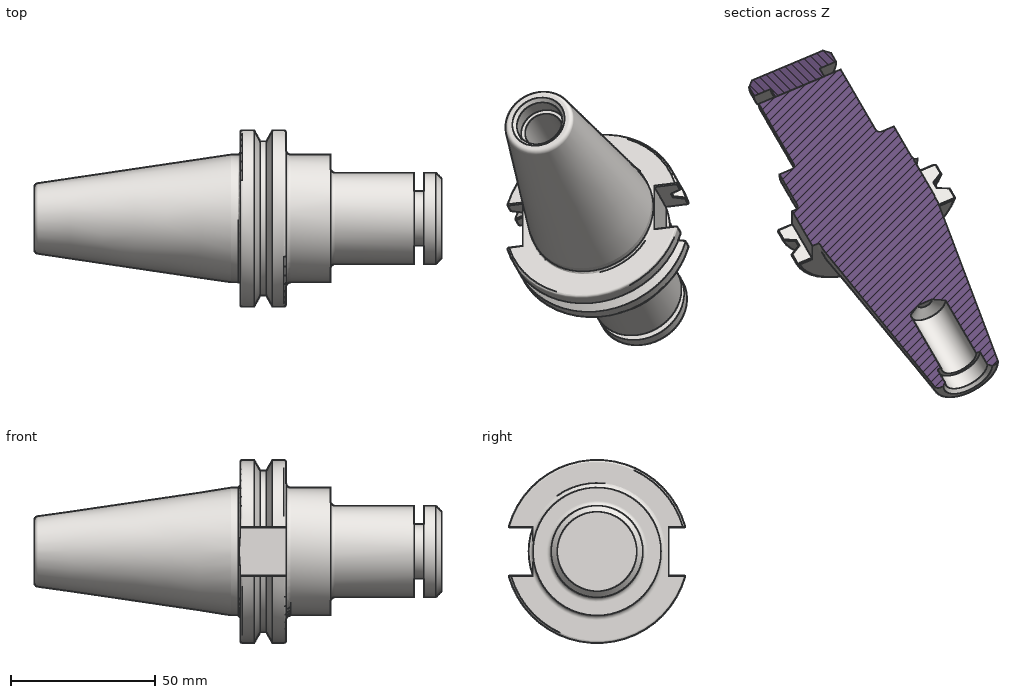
import cadquery as cq
import math


QUARTER_TURN = math.pi / 2

GAUGE_X = 68.3
FLANGE_X = 71.4
FLANGE_WIDTH = 16.0
COLLAR_END_X = 102.8
SHANK_END_X = 131.7
TOTAL_LENGTH = 141.4

GAUGE_DIAMETER = 44.4
SMALL_END_DIAMETER = 24.2
TAPER_END_FILLET = 1.5

FLANGE_DIAMETER = 63.6
FLANGE_RIM_FILLET = 0.8
FLANGE_FRONT_FILLET = 0.7
GROOVE_CENTER_X = 79.5
GROOVE_FLOOR_WIDTH = 2.1
GROOVE_DEPTH = 3.7
GROOVE_HALF_ANGLE = 30.0
SLOT_WIDTH = 16.4
SLOT_EDGE_CHAMFER = 0.4
SLOT_FLOOR_NEAR = 22.3
SLOT_FLOOR_FAR = 24.9

COLLAR_DIAMETER = GAUGE_DIAMETER
SHANK_DIAMETER = 31.8
ROOT_FILLET = 1.5

BORE_MOUTH_DIAMETER = 18.8
BORE_DIAMETER = 16.3
BORE_STEP_X = 7.0
PILOT_DIAMETER = 13.4
PILOT_END_X = 31.1
BORE_BOTTOM_DIAMETER = 5.4
BORE_CONE_HALF_ANGLE = 59.0

HEAD_DIAMETER = SHANK_DIAMETER
HEAD_LENGTH = 6.2
HEAD_CHAMFER = 2.1
NECK_DIAMETER = 19.1


def revolve_about_x(profile):
    """Revolve a closed XY profile around the X axis."""
    return profile.close().revolve(360, (0, 0, 0), (1, 0, 0))


def arc_to(profile, center, radius, middle_angle, end):
    """Extend the profile to end by an arc whose middle lies at middle_angle (radians)."""
    middle = (
        center[0] + radius * math.cos(middle_angle),
        center[1] + radius * math.sin(middle_angle),
    )
    return profile.threePointArc(middle, end)


def taper_section():
    """Cone with a rounded small end, and the short cylinder up to the flange."""
    gauge_radius = GAUGE_DIAMETER / 2
    small_end_radius = SMALL_END_DIAMETER / 2

    slope = math.atan((gauge_radius - small_end_radius) / GAUGE_X)
    tangent_length = TAPER_END_FILLET * math.tan((QUARTER_TURN - slope) / 2)
    rim_center = (TAPER_END_FILLET, small_end_radius - tangent_length)
    rim_start_angle = 2 * QUARTER_TURN
    rim_end_angle = QUARTER_TURN + slope
    rim_middle_angle = (rim_start_angle + rim_end_angle) / 2
    rim_end = (
        tangent_length * math.cos(slope),
        small_end_radius + tangent_length * math.sin(slope),
    )
    profile = cq.Workplane("XY").lineTo(0, rim_center[1])
    profile = (
        arc_to(profile, rim_center, TAPER_END_FILLET, rim_middle_angle, rim_end)
        .lineTo(GAUGE_X, gauge_radius)
        .lineTo(FLANGE_X - FLANGE_FRONT_FILLET, gauge_radius)
    )

    fillet_top = gauge_radius + FLANGE_FRONT_FILLET
    profile = arc_to(
        profile,
        (FLANGE_X - FLANGE_FRONT_FILLET, fillet_top),
        FLANGE_FRONT_FILLET,
        -QUARTER_TURN / 2,
        (FLANGE_X, fillet_top),
    )
    return revolve_about_x(profile.lineTo(FLANGE_X, 0))


def stepped_cylinder(start_x, end_x, diameter):
    """Cylinder with a concave root fillet where it leaves the face at start_x."""
    radius = diameter / 2
    fillet_top = radius + ROOT_FILLET
    profile = cq.Workplane("XY").moveTo(start_x, 0).lineTo(start_x, fillet_top)
    profile = arc_to(
        profile,
        (start_x + ROOT_FILLET, fillet_top),
        ROOT_FILLET,
        -3 * QUARTER_TURN / 2,
        (start_x + ROOT_FILLET, radius),
    )
    return revolve_about_x(profile.lineTo(end_x, radius).lineTo(end_x, 0))


def flange():
    """Flange disc with rounded rims, a V groove and chamfered drive slots."""
    disc = (
        cq.Workplane("YZ", origin=(FLANGE_X, 0, 0))
        .circle(FLANGE_DIAMETER / 2)
        .extrude(FLANGE_WIDTH)
        .edges()
        .fillet(FLANGE_RIM_FILLET)
        .cut(flange_groove())
        .cut(drive_slots())
    )
    return chamfer_slot_walls(disc)


def flange_groove():
    """V groove around the flange, with a flat floor."""
    rim_radius = FLANGE_DIAMETER / 2
    floor_half = GROOVE_FLOOR_WIDTH / 2
    rim_half = floor_half + GROOVE_DEPTH * math.tan(math.radians(GROOVE_HALF_ANGLE))
    profile = (
        cq.Workplane("XY")
        .moveTo(GROOVE_CENTER_X - rim_half, rim_radius)
        .lineTo(GROOVE_CENTER_X - floor_half, rim_radius - GROOVE_DEPTH)
        .lineTo(GROOVE_CENTER_X + floor_half, rim_radius - GROOVE_DEPTH)
        .lineTo(GROOVE_CENTER_X + rim_half, rim_radius)
    )
    return revolve_about_x(profile)


def drive_slots():
    """Slots across the flange at -Y and +Y, also clearing the fillet before it."""
    start_x = FLANGE_X - FLANGE_FRONT_FILLET
    length = FLANGE_FRONT_FILLET + FLANGE_WIDTH
    slots = cq.Workplane("XY")
    for floor_distance, side in ((SLOT_FLOOR_NEAR, -1), (SLOT_FLOOR_FAR, 1)):
        depth = FLANGE_DIAMETER / 2 - floor_distance
        center = (start_x + length / 2, side * (floor_distance + depth / 2), 0)
        slots = slots.add(cq.Workplane("XY").box(length, depth, SLOT_WIDTH).translate(center))
    return slots.combine()


def chamfer_slot_walls(disc):
    """Chamfer the edges of the slot walls, except where they meet the slot floors."""
    edges = []
    for wall in disc.faces("|Z").vals():
        floor_y = min(abs(edge.Center().y) for edge in wall.Edges())
        edges += [edge for edge in wall.Edges() if abs(edge.Center().y) > floor_y]
    return disc.newObject(edges).chamfer(SLOT_EDGE_CHAMFER)


def taper_bore():
    """Chamfered bore with one step, ending in a cone with a flat bottom."""
    mouth_chamfer = (BORE_MOUTH_DIAMETER - BORE_DIAMETER) / 2
    cone_drop = (PILOT_DIAMETER - BORE_BOTTOM_DIAMETER) / 2
    cone_length = cone_drop / math.tan(math.radians(BORE_CONE_HALF_ANGLE))
    profile = (
        cq.Workplane("XY")
        .lineTo(0, BORE_MOUTH_DIAMETER / 2)
        .lineTo(mouth_chamfer, BORE_DIAMETER / 2)
        .lineTo(BORE_STEP_X, BORE_DIAMETER / 2)
        .lineTo(BORE_STEP_X, PILOT_DIAMETER / 2)
        .lineTo(PILOT_END_X, PILOT_DIAMETER / 2)
        .lineTo(PILOT_END_X + cone_length, BORE_BOTTOM_DIAMETER / 2)
        .lineTo(PILOT_END_X + cone_length, 0)
    )
    return revolve_about_x(profile)


def make_holder():
    """Tool holder: taper, flange, collar and arbor in one piece."""
    collar = stepped_cylinder(FLANGE_X + FLANGE_WIDTH, COLLAR_END_X, COLLAR_DIAMETER)
    arbor = stepped_cylinder(COLLAR_END_X, SHANK_END_X, SHANK_DIAMETER)
    taper = taper_section().cut(drive_slots())
    return taper.union(flange()).union(collar).union(arbor).cut(taper_bore())


def make_retaining_cap():
    """Chamfered round head on a neck that rests on the end of the arbor."""
    head_radius = HEAD_DIAMETER / 2
    head_x = TOTAL_LENGTH - HEAD_LENGTH
    profile = (
        cq.Workplane("XY")
        .moveTo(SHANK_END_X, 0)
        .lineTo(SHANK_END_X, NECK_DIAMETER / 2)
        .lineTo(head_x, NECK_DIAMETER / 2)
        .lineTo(head_x, head_radius)
        .lineTo(TOTAL_LENGTH - HEAD_CHAMFER, head_radius)
        .lineTo(TOTAL_LENGTH, head_radius - HEAD_CHAMFER)
        .lineTo(TOTAL_LENGTH, 0)
    )
    return revolve_about_x(profile)


holder = make_holder()
retaining_cap = make_retaining_cap()

result = cq.Compound.makeCompound([holder.val(), retaining_cap.val()])